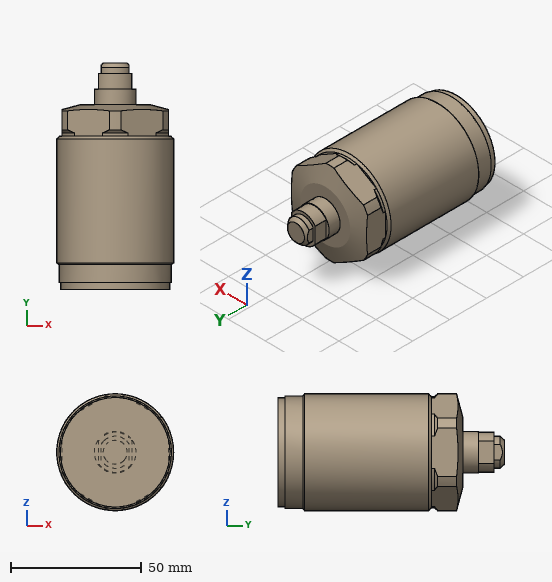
import cadquery as cq
import math

total_length = 87.0

body_diameter = 45.0
front_step_diameter = 42.0
front_collar_diameter = 43.2
front_step_length = 2.7
front_collar_end = 9.6
front_chamfer_length = 0.7
body_end = 58.9
body_end_diameter = 42.8
rear_chamfer_length = (body_diameter - body_end_diameter) / 2

hex_across_flats = 41.0
hex_end = 71.0
hex_cone_angle = 15.0
hex_face_diameter = 27.15
relief_diameter = body_end_diameter
relief_length = 1.2
relief_chamfer_length = 1.2

shank_diameter = 16.0
shank_end = 77.0
neck_diameter = 15.5
neck_across_flats = 12.9
neck_end = 83.0
tip_diameter = 12.35
tip_across_flats = 10.8
tip_face_diameter = 9.2
tip_chamfer_length = 1.65


def turned(diameters_and_places):
    """Solid of revolution about Y from (diameter, Y position) pairs."""
    outline = [(diameter / 2, place) for diameter, place in diameters_and_places]
    first_place = outline[0][1]
    last_place = outline[-1][1]
    points = [(0, first_place)] + outline + [(0, last_place)]
    return cq.Workplane("XY").polyline(points).close().revolve(360, (0, 0), (0, 1))


def make_body():
    return turned([
        (front_step_diameter, 0),
        (front_step_diameter, front_step_length),
        (front_collar_diameter, front_step_length),
        (front_collar_diameter, front_collar_end),
        (body_diameter, front_collar_end + front_chamfer_length),
        (body_diameter, body_end - rear_chamfer_length),
        (body_end_diameter, body_end),
    ])


def make_hex():
    cone_run = (body_diameter - hex_face_diameter) / 2
    cone_length = cone_run * math.tan(math.radians(hex_cone_angle))
    relief_end = body_end + relief_length
    blank = turned([
        (relief_diameter, body_end),
        (relief_diameter, relief_end),
        (body_diameter, relief_end + relief_chamfer_length),
        (body_diameter, hex_end - cone_length),
        (hex_face_diameter, hex_end),
    ])
    across_corners = hex_across_flats / math.cos(math.radians(30))
    prism = (
        cq.Workplane("XZ", origin=(0, body_end, 0))
        .transformed(rotate=(0, 0, 90))
        .polygon(6, across_corners)
        .extrude(body_end - hex_end)
    )
    return blank.intersect(prism)


def with_side_flats(step, across_flats):
    """Cut a turned step to the given width along X."""
    slab = cq.Workplane("XY").box(across_flats, 2 * total_length, body_diameter)
    return step.intersect(slab)


def make_stem():
    shank = turned([(shank_diameter, hex_end), (shank_diameter, shank_end)])
    neck = turned([(neck_diameter, shank_end), (neck_diameter, neck_end)])
    tip = turned([
        (tip_diameter, neck_end),
        (tip_diameter, total_length - tip_chamfer_length),
        (tip_face_diameter, total_length),
    ])
    neck = with_side_flats(neck, neck_across_flats)
    tip = with_side_flats(tip, tip_across_flats)
    return shank.union(neck).union(tip)


result = make_body().union(make_hex()).union(make_stem())